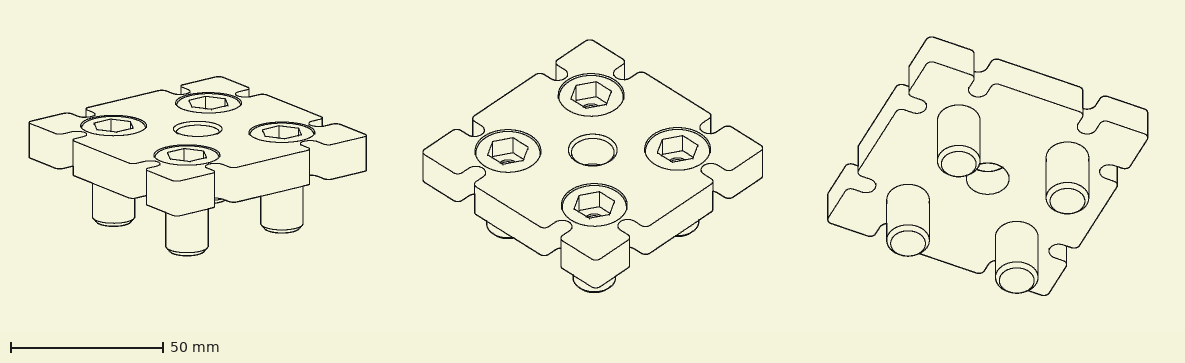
import cadquery as cq
import math

plate_side = 80.0
plate_thickness = 12.0
corner_radius = 2.0
screw_offset = 19.7

notch_width = 6.4
notch_depth = 8.3

center_hole_diameter = 14.0
center_hole_mouth_diameter = 16.0
countersink_angle = 90

shank_diameter = 14.0
shank_projection = 21.0
head_diameter = 21.0
head_height = 8.0
head_fillet = 1.0
tip_chamfer_height = 1.5
tip_chamfer_width = 1.3
socket_width = 12.0
socket_depth = 6.5
socket_drill_diameter = 6.2
socket_drill_depth = 0.8

counterbore_diameter = 21.6
seat_height = plate_thickness - head_height

screw_positions = [
    (x_side * screw_offset, y_side * screw_offset)
    for x_side in (-1, 1)
    for y_side in (-1, 1)
]


def make_notch(offset):
    """Round-ended notch cut into the +Y edge, centred on X = offset."""
    half_width = notch_width / 2
    edge = plate_side / 2
    arc_start = edge - notch_depth + half_width
    return (
        cq.Workplane("XY")
        .moveTo(offset - half_width, edge)
        .lineTo(offset - half_width, arc_start)
        .threePointArc((offset, edge - notch_depth), (offset + half_width, arc_start))
        .lineTo(offset + half_width, edge)
        .close()
        .extrude(plate_thickness)
    )


def make_plate():
    """Square plate with two notches per edge, a central hole and four screw seats."""
    plate = cq.Workplane("XY").rect(plate_side, plate_side).extrude(plate_thickness)

    for quarter_turn in range(4):
        for offset in (-screw_offset, screw_offset):
            notch = make_notch(offset).rotate((0, 0, 0), (0, 0, 1), 90 * quarter_turn)
            plate = plate.cut(notch)

    half_side = plate_side / 2
    band = corner_radius / 2
    inner_zone = cq.selectors.BoxSelector(
        (band - half_side, band - half_side, -band),
        (half_side - band, half_side - band, plate_thickness + band),
    )
    outer_edges = cq.selectors.SubtractSelector(cq.selectors.StringSyntaxSelector("|Z"), inner_zone)
    plate = plate.edges(outer_edges).fillet(corner_radius)

    plate = plate.faces(">Z").workplane(origin=(0, 0, 0)).cskHole(
        center_hole_diameter, center_hole_mouth_diameter, countersink_angle
    )

    return (
        plate.faces(">Z")
        .workplane(origin=(0, 0, 0))
        .pushPoints(screw_positions)
        .cboreHole(shank_diameter, counterbore_diameter, head_height)
    )


def make_screw(position):
    """Socket head screw whose head top is flush with the plate."""
    shank = (
        cq.Workplane("XY", origin=(0, 0, -shank_projection))
        .circle(shank_diameter / 2)
        .extrude(shank_projection + seat_height)
        .faces("<Z")
        .chamfer(tip_chamfer_height, tip_chamfer_width)
    )
    head = (
        cq.Workplane("XY", origin=(0, 0, seat_height))
        .circle(head_diameter / 2)
        .extrude(head_height)
        .faces(">Z")
        .edges()
        .fillet(head_fillet)
    )

    across_corners = socket_width / math.cos(math.pi / 6)
    socket = (
        cq.Workplane("XY", origin=(0, 0, plate_thickness))
        .transformed(rotate=(0, 0, 90))
        .polygon(6, across_corners)
        .extrude(-socket_depth)
    )
    drill_hole = (
        cq.Workplane("XY", origin=(0, 0, plate_thickness - socket_depth))
        .circle(socket_drill_diameter / 2)
        .extrude(-socket_drill_depth)
    )
    screw = shank.union(head).cut(socket).cut(drill_hole)
    return screw.translate((*position, 0))


plate = make_plate()
screws = [make_screw(position) for position in screw_positions]

result = cq.Compound.makeCompound(
    [plate.solids().val(), *[screw.solids().val() for screw in screws]]
)